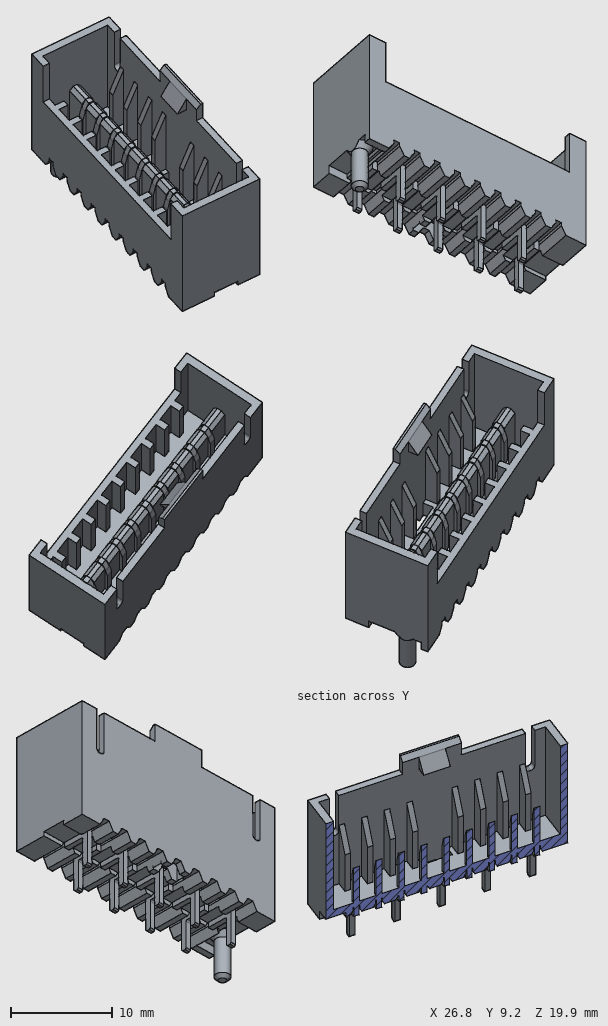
import cadquery as cq

length = 26.8
depth = 9.2
height = 13.55
end_wall = 0.85
side_wall = 0.75
floor_top = 2.0
front_height = 8.5
corner_return = 2.05
back_inner = depth - side_wall
half_length = length / 2
half_inner = half_length - end_wall

contact_count = 9
row_length = 20.0
pitch = row_length / (contact_count - 1)
middle = contact_count // 2
row_y = 4.58

relief_width = 1.02
relief_radius = 0.43

latch_width = 6.5
latch_height = 2.05
latch_chamfer = 0.5
tooth_width = 2.95
tooth_reach = 1.07
tooth_drop = 1.53
window_width = 3.32
window_depth = 1.13

front_rib_width = 0.7
front_rib_depth = 1.05
back_rib_width = 0.62
back_rib_depth = 1.29
back_rib_top = 9.65
back_rib_front_top = 6.78

bar_width = 1.3
bar_top = 7.24
bar_chamfer = 0.43

contact_width = 0.62
slot_width = 0.7
tip_flat = 0.55
tip_top = 7.32
shoulder_width = 1.45
shoulder_z = 6.43
collar_z = 5.41
stem_width = 1.95
arm_bottom = 0.2
arm_top = 1.29
leg_offset = 2.22
leg_thickness = 0.67
leg_bottom = -3.27
leg_chamfer = 0.15
bend_radius = 0.15

notch_half_width = 0.9
flare_height = 0.96
slot_height = 1.37
channel_front = 3.83
channel_back = 6.6
channel_height = 0.5
recess_height = 1.02
recess_length = 2.2
step_length = 2.47

peg_radius = 0.845
peg_bottom = -4.31
peg_chamfer = 0.4
peg_x = peg_radius - half_length
peg_y = 2.7
cone_bottom = 0.32
cone_radius = 1.3


def box(x0, x1, y0, y1, z0, z1):
    """Box between two opposite corners."""
    return cq.Workplane("XY").box(x1 - x0, y1 - y0, z1 - z0, centered=False).translate((x0, y0, z0))


def centred_box(x, width, y0, y1, z0, z1):
    """Box centred on x."""
    return box(x - width / 2, x + width / 2, y0, y1, z0, z1)


def plate(points, x, width):
    """Plate with a YZ outline, centred on x."""
    return cq.Workplane("YZ", origin=(x - width / 2, 0, 0)).polyline(points).close().extrude(width)


def contact_x(index):
    return (index - middle) * pitch


def make_shell():
    shell = box(-half_length, half_length, 0, depth, 0, height)
    shell = shell.cut(box(-half_inner, half_inner, side_wall, back_inner, floor_top, height))
    half_opening = half_length - corner_return
    shell = shell.cut(box(-half_opening, half_opening, 0, side_wall, front_height, height))
    for side in (-1, 1):
        relief_x = side * (half_opening - relief_width / 2)
        relief = centred_box(relief_x, relief_width, back_inner, depth, front_height, height)
        shell = shell.cut(relief.edges("|Y and <Z").fillet(relief_radius))
    return shell


def make_latch():
    latch_top = height + latch_height
    tooth_top = latch_top - latch_chamfer
    tab = plate(
        [
            (back_inner, height),
            (back_inner, tooth_top),
            (back_inner + latch_chamfer, latch_top),
            (depth, latch_top),
            (depth, height),
        ],
        0,
        latch_width,
    )
    tooth_bottom = tooth_top - tooth_drop
    tooth = plate(
        [(back_inner, tooth_top), (back_inner - tooth_reach, tooth_bottom), (back_inner, tooth_bottom)],
        0,
        tooth_width,
    )
    return tab.union(tooth)


def make_front_rib(x):
    rib_back = side_wall + front_rib_depth
    return centred_box(x, front_rib_width, side_wall, rib_back, floor_top, front_height)


def make_back_rib(x):
    rib_front = back_inner - back_rib_depth
    outline = [
        (back_inner, floor_top),
        (rib_front, floor_top),
        (rib_front, back_rib_front_top),
        (back_inner, back_rib_top),
    ]
    return plate(outline, x, back_rib_width)


def make_bar():
    bar = box(-half_inner, half_inner, row_y - bar_width / 2, row_y + bar_width / 2, floor_top, bar_top)
    bar = bar.edges("|X and >Z").chamfer(bar_chamfer)
    for index in range(contact_count):
        slot = centred_box(contact_x(index), slot_width, side_wall, back_inner, shoulder_z, bar_top)
        bar = bar.cut(slot)
    return bar


def make_notch(x):
    """Flared notch across the underside, with a narrow contact slot above it."""
    half_slot = slot_width / 2
    flare = (
        cq.Workplane("XZ")
        .polyline(
            [
                (x - notch_half_width, 0),
                (x - half_slot, flare_height),
                (x + half_slot, flare_height),
                (x + notch_half_width, 0),
            ]
        )
        .close()
        .extrude(-depth)
    )
    slot_back = row_y + leg_offset + slot_width / 2
    return flare.union(centred_box(x, slot_width, 0, slot_back, 0, slot_height))


def make_contact(index):
    """Upright stem, collar and tip with an arm and leg, alternately to the back and to the front."""
    x = contact_x(index)
    stem_front = row_y - stem_width / 2
    stem_back = row_y + stem_width / 2
    stem = centred_box(x, contact_width, stem_front, stem_back, arm_bottom, floor_top)
    collar = plate(
        [
            (stem_front, floor_top),
            (stem_front, collar_z),
            (row_y - shoulder_width / 2, shoulder_z),
            (row_y + shoulder_width / 2, shoulder_z),
            (stem_back, collar_z),
            (stem_back, floor_top),
        ],
        x,
        slot_width,
    )
    tip = plate(
        [
            (row_y - shoulder_width / 2, shoulder_z),
            (row_y - tip_flat / 2, tip_top),
            (row_y + tip_flat / 2, tip_top),
            (row_y + shoulder_width / 2, shoulder_z),
        ],
        x,
        contact_width,
    )
    leg_outer = row_y + leg_offset
    leg_inner = leg_outer - leg_thickness
    leg = (
        cq.Workplane("YZ", origin=(x - contact_width / 2, 0, 0))
        .moveTo(row_y, arm_top)
        .lineTo(leg_outer, arm_top)
        .lineTo(leg_outer, leg_bottom + leg_chamfer)
        .lineTo(leg_outer - leg_chamfer, leg_bottom)
        .lineTo(leg_inner + leg_chamfer, leg_bottom)
        .lineTo(leg_inner, leg_bottom + leg_chamfer)
        .lineTo(leg_inner, arm_bottom - bend_radius)
        .radiusArc((leg_inner - bend_radius, arm_bottom), -bend_radius)
        .lineTo(row_y, arm_bottom)
        .close()
        .extrude(contact_width)
    )
    if index % 2 == 1:
        leg = leg.mirror("XZ", (0, row_y, 0))
    return stem.union(collar).union(tip).union(leg)


def make_peg():
    """Round peg with a conical root, trimmed by the end face and the channel."""
    peg = (
        cq.Workplane("XZ", origin=(peg_x, peg_y, 0))
        .moveTo(0, peg_bottom)
        .lineTo(peg_radius - peg_chamfer, peg_bottom)
        .lineTo(peg_radius, peg_bottom + peg_chamfer)
        .lineTo(peg_radius, cone_bottom)
        .lineTo(cone_radius, recess_height)
        .lineTo(0, recess_height)
        .close()
        .revolve(360, (0, 0, 0), (0, 1, 0))
    )
    return peg.intersect(box(-half_length, half_length, 0, channel_front, peg_bottom, recess_height))


housing = make_shell().union(make_latch()).union(make_bar())
for index in range(contact_count):
    housing = housing.union(make_front_rib(contact_x(index)))
    if index != middle:
        housing = housing.union(make_back_rib(contact_x(index)))

housing = housing.cut(centred_box(0, window_width, back_inner - window_depth, back_inner, 0, floor_top))

housing = housing.cut(box(-half_length, half_length, channel_front, channel_back, 0, channel_height))
recess_end = recess_length - half_length
step_end = step_length - half_length
housing = housing.cut(box(-half_length, recess_end, side_wall, channel_back, 0, recess_height))
housing = housing.cut(box(-half_length, step_end, side_wall, channel_back, 0, channel_height))

for index in range(contact_count):
    housing = housing.cut(make_notch(contact_x(index)))

result = housing.union(make_peg())
for index in range(contact_count):
    result = result.union(make_contact(index))